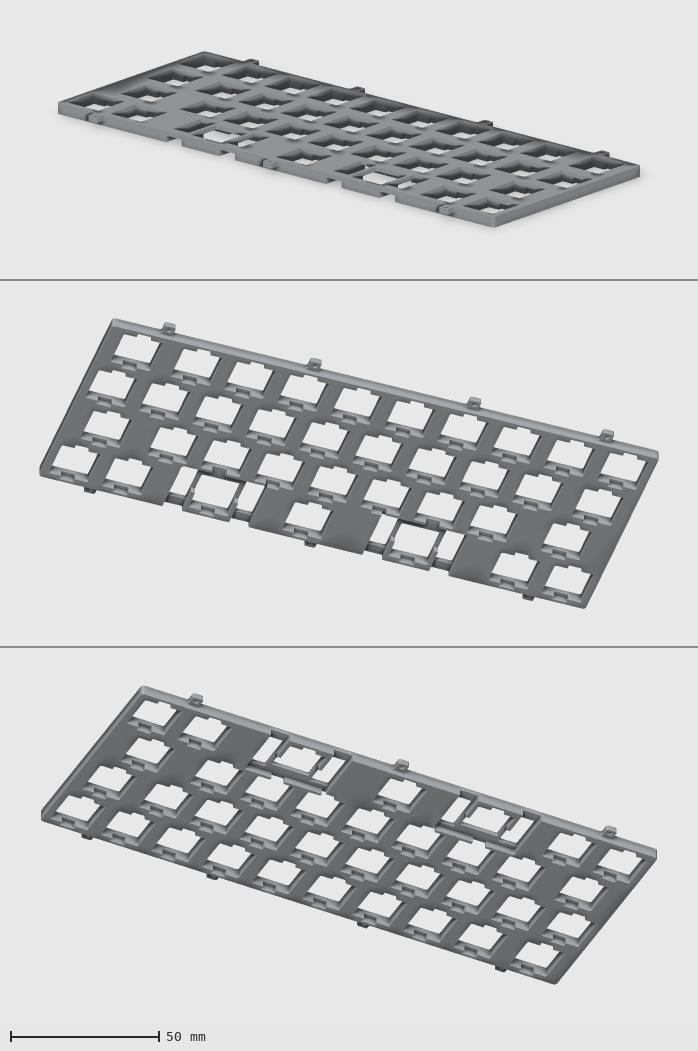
import cadquery as cq

plate_length = 195.3
width_over_tabs = 84.2
thickness = 4.0
plate_corner_radius = 1.0

row_count = 4
pitch = plate_length / 10.25
plate_width = row_count * pitch
left_edge = -plate_length / 2
back_edge = plate_width / 2

key_rows = [
    [0.5 + i for i in range(9)] + [9.625],
    [0.625] + [1.75 + i for i in range(9)],
    [0.875] + [2.25 + i for i in range(7)] + [9.5],
    [0.5, 1.5, 3.375, 5.375, 7.125, 8.75, 9.75],
]
stabilized_keys = [3.375, 7.125]

opening_size = 14.0
opening_corner_radius = 0.5
skin = 1.5
recess_height = thickness - skin
clip_width = 5.0
clip_depth = 1.5

slot_width = 7.0
slot_length = 15.0
slot_corner_radius = 0.5
slot_offset_x = 12.0
slot_offset_y = 1.5
pocket_length = 2 * slot_offset_x + slot_width
pocket_width = 11.0
pocket_corner_radius = 1.0

tab_length = (width_over_tabs - plate_width) / 2
tab_width = 4.0
tab_thickness = 2.0
tab_tip_radius = 0.5
tab_root_radius = 0.8
tab_hole_diameter = 2.0
tab_hole_distance = 2.3
outer_tab_x = 78.3
back_inner_tabs_x = [-30.9, 26.2]
front_inner_tabs_x = [-0.4]


def key_x(pitches):
    return left_edge + pitches * pitch


def row_y(row):
    return back_edge - (row + 0.5) * pitch


def block(x, y, size_x, size_y, height):
    """Upright box centred on (x, y) standing on the bottom plane."""
    return cq.Workplane("XY").box(size_x, size_y, height, centered=(True, True, False)).translate((x, y, 0))


def switch_cutter():
    """Through opening plus a clip recess under its front and back edges, centred on the key."""
    opening = block(0, 0, opening_size, opening_size, thickness).edges("|Z").fillet(opening_corner_radius)
    clips = block(0, 0, clip_width, opening_size + 2 * clip_depth, recess_height)
    return opening.union(clips)


def stabilizer_cutter():
    """Two through slots with underside channels to the front edge, joined by the wire pocket."""
    cutter = block(0, pocket_width / 2, pocket_length, pocket_width, recess_height)
    cutter = cutter.edges("|Z and >Y").fillet(pocket_corner_radius)
    channel_length = pitch / 2 + slot_offset_y
    channel_y = slot_offset_y - channel_length / 2
    for slot_x in (-slot_offset_x, slot_offset_x):
        slot = block(slot_x, slot_offset_y, slot_width, slot_length, thickness)
        slot = slot.edges("|Z").fillet(slot_corner_radius)
        channel = block(slot_x, channel_y, slot_width, channel_length, recess_height)
        cutter = cutter.union(slot).union(channel)
    return cutter


def tab(x, side):
    """Mounting tab on the back (side = 1) or front (side = -1) edge, flared where it meets the plate."""
    half = tab_width / 2
    root = half + tab_root_radius
    solid = (
        cq.Workplane("XY")
        .moveTo(-root, -tab_root_radius)
        .lineTo(-root, 0)
        .radiusArc((-half, tab_root_radius), -tab_root_radius)
        .lineTo(-half, tab_length - tab_tip_radius)
        .radiusArc((-half + tab_tip_radius, tab_length), tab_tip_radius)
        .lineTo(half - tab_tip_radius, tab_length)
        .radiusArc((half, tab_length - tab_tip_radius), tab_tip_radius)
        .lineTo(half, tab_root_radius)
        .radiusArc((root, 0), -tab_root_radius)
        .lineTo(root, -tab_root_radius)
        .close()
        .extrude(tab_thickness)
    )
    hole = cq.Workplane("XY").center(0, tab_hole_distance).circle(tab_hole_diameter / 2).extrude(tab_thickness)
    solid = solid.cut(hole)
    if side < 0:
        solid = solid.mirror("XZ")
    return solid.translate((x, side * plate_width / 2, thickness - tab_thickness))


plate = block(0, 0, plate_length, plate_width, thickness).edges("|Z").fillet(plate_corner_radius)

for side, inner_tabs_x in ((1, back_inner_tabs_x), (-1, front_inner_tabs_x)):
    for tab_x in (-outer_tab_x, *inner_tabs_x, outer_tab_x):
        plate = plate.union(tab(tab_x, side))

key_places = [(key_x(key), row_y(row)) for row, keys in enumerate(key_rows) for key in keys]
plate = plate.pushPoints(key_places).eachpoint(switch_cutter().val(), combine="cut")

stabilizer_places = [(key_x(key), row_y(row_count - 1)) for key in stabilized_keys]
plate = plate.pushPoints(stabilizer_places).eachpoint(stabilizer_cutter().val(), combine="cut")

result = plate